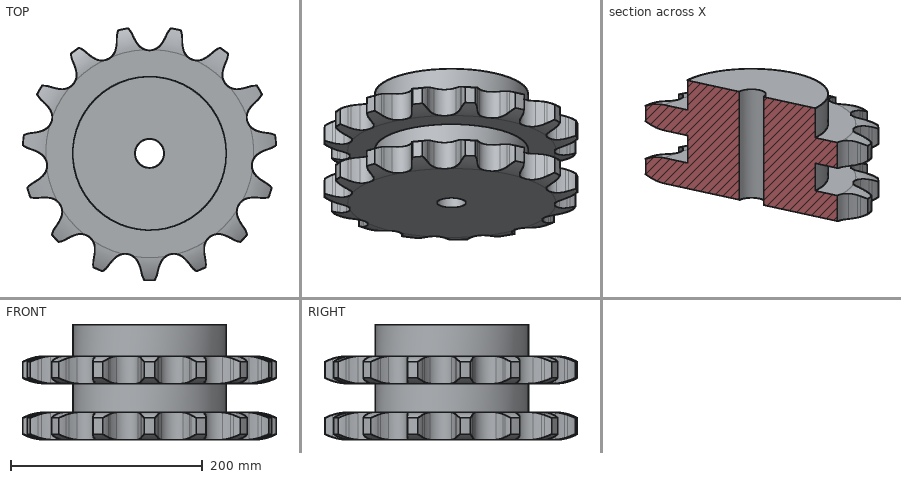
import cadquery as cq
import math


chain_pitch = 50.8
roller_diameter = 29.21
strand_spacing = 58.55

tooth_count = 15
first_tooth_angle = -90.0
plate_thickness = 28.8
plate_levels = [0.0, strand_spacing]
tip_diameter = 264.8
hub_diameter = 160.0
bore_diameter = 30.0
total_height = 120.0

pitch_angle = 360.0 / tooth_count
pitch_radius = chain_pitch / (2 * math.sin(math.pi / tooth_count))
tip_radius = tip_diameter / 2

side_arc_radius = chain_pitch
side_relief = 6.0
side_arc_width = math.sqrt(side_relief * (2 * side_arc_radius - side_relief))
flat_face_radius = tip_radius - side_arc_width

seating_radius = 0.5025 * roller_diameter + 0.0381
working_radius = 1.3025 * roller_diameter + 0.0381
working_center_offset = 0.8 * roller_diameter
topping_center_offset = 1.4 * roller_diameter
seating_half_angle = 35.0 + 60.0 / tooth_count
working_sweep = 18.0 - 56.0 / tooth_count
topping_direction = 17.0 - 64.0 / tooth_count
topping_radius = (
    working_center_offset * math.cos(math.radians(working_sweep))
    + topping_center_offset * math.cos(math.radians(topping_direction))
    - working_radius
)
cutter_overrun = 3.0


def polar(center, radius, angle):
    """Point at the given radius and angle (degrees) from a center."""
    turn = math.radians(angle)
    return (center[0] + radius * math.cos(turn), center[1] + radius * math.sin(turn))


def mirrored(point):
    return (-point[0], point[1])


def right_flank():
    """Points up the right flank of a space centered on +Y, starting at the end of the seating arc."""
    seat = (0.0, pitch_radius)
    seating_end_angle = -seating_half_angle
    working_end_angle = seating_end_angle + working_sweep
    working_center = polar(seat, working_center_offset, 180.0 + seating_end_angle)
    topping_center = polar(seat, topping_center_offset, -180.0 / tooth_count)

    seating_end = polar(seat, seating_radius, seating_end_angle)
    working_middle = polar(working_center, working_radius, seating_end_angle + working_sweep / 2)
    working_end = polar(working_center, working_radius, working_end_angle)
    topping_start_angle = 180.0 + working_end_angle
    topping_start = polar(topping_center, topping_radius, topping_start_angle)

    cutter_top = tip_radius + cutter_overrun
    topping_end_angle = 180.0 - math.degrees(math.asin((cutter_top - topping_center[1]) / topping_radius))
    topping_middle = polar(topping_center, topping_radius, (topping_start_angle + topping_end_angle) / 2)
    topping_end = polar(topping_center, topping_radius, topping_end_angle)
    return seating_end, working_middle, working_end, topping_start, topping_middle, topping_end


def tooth_space():
    """Cutter for one gap between teeth, centered on +Y."""
    flank = right_flank()
    seating_end, working_middle, working_end, topping_start, topping_middle, topping_end = flank
    seat_bottom = (0.0, pitch_radius - seating_radius)
    return (
        cq.Workplane("XY")
        .moveTo(*mirrored(seating_end))
        .threePointArc(seat_bottom, seating_end)
        .threePointArc(working_middle, working_end)
        .lineTo(*topping_start)
        .threePointArc(topping_middle, topping_end)
        .lineTo(*mirrored(topping_end))
        .threePointArc(mirrored(topping_middle), mirrored(topping_start))
        .lineTo(*mirrored(working_end))
        .threePointArc(mirrored(working_middle), mirrored(seating_end))
        .close()
        .extrude(plate_thickness)
    )


def plate_blank():
    """Disc whose rim is rounded on both faces, revolved about Z."""
    half_sweep = math.asin(side_arc_width / side_arc_radius) / 2
    arc_middle_radius = flat_face_radius + side_arc_radius * math.sin(half_sweep)
    arc_middle_drop = side_arc_radius * (1 - math.cos(half_sweep))
    return (
        cq.Workplane("XZ")
        .lineTo(flat_face_radius, 0)
        .threePointArc((arc_middle_radius, arc_middle_drop), (tip_radius, side_relief))
        .lineTo(tip_radius, plate_thickness - side_relief)
        .threePointArc(
            (arc_middle_radius, plate_thickness - arc_middle_drop),
            (flat_face_radius, plate_thickness),
        )
        .lineTo(0, plate_thickness)
        .close()
        .revolve(360, (0, 0, 0), (0, 1, 0))
    )


def toothed_plate():
    plate = plate_blank()
    space = tooth_space()
    first_turn = first_tooth_angle + pitch_angle / 2 - 90.0
    for index in range(tooth_count):
        turn = first_turn + index * pitch_angle
        plate = plate.cut(space.rotate((0, 0, 0), (0, 0, 1), turn))
    return plate


def sprocket():
    body = cq.Workplane("XY").circle(hub_diameter / 2).extrude(total_height)
    plate = toothed_plate()
    for level in plate_levels:
        body = body.union(plate.translate((0, 0, level)))
    bore = cq.Workplane("XY").circle(bore_diameter / 2).extrude(total_height)
    return body.cut(bore)


result = sprocket()